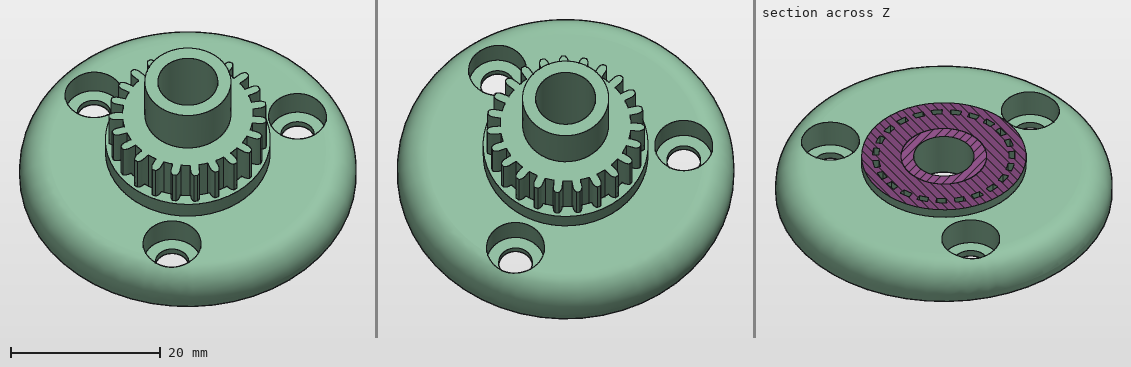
import cadquery as cq
import math

PLATE_RADIUS = 22.5
PLATE_HEIGHT = 5.0
RIM_HEIGHT = 1.0

SPIGOT_RADIUS = 5.75
SPIGOT_TOP = 20.0
BORE_RADIUS = 4.0

HOLE_COUNT = 3
HOLE_CIRCLE_RADIUS = 15.85
FIRST_HOLE_ANGLE = 40.0
HOLE_RADIUS = 2.25
COUNTERBORE_RADIUS = 3.85
COUNTERBORE_FLOOR = RIM_HEIGHT

GEAR_TOP = 13.0
GEAR_HEIGHT = GEAR_TOP - PLATE_HEIGHT
TOOTH_COUNT = 23
ROOT_RADIUS = 8.75
TIP_RADIUS = 10.55
TOOTH_WIDTH = 1.15
SHOULDER_RADIUS = 9.7
FLANK_ARC_RADIUS = 1.12

COLLAR_RADIUS = 11.02
COLLAR_INNER_RADIUS = 9.5
COLLAR_TOP = 7.5


def make_plate():
    """Round plate whose upper edge is rounded down to the straight rim."""
    plate = cq.Workplane("XY").circle(PLATE_RADIUS).extrude(PLATE_HEIGHT)
    return plate.faces(">Z").edges().fillet(PLATE_HEIGHT - RIM_HEIGHT)


def make_screw_cylinders(radius, floor):
    """One cylinder per screw, from the given floor up to the top of the plate."""
    return (
        cq.Workplane("XY", origin=(0, 0, floor))
        .polarArray(HOLE_CIRCLE_RADIUS, FIRST_HOLE_ANGLE, 360, HOLE_COUNT)
        .circle(radius)
        .extrude(PLATE_HEIGHT - floor)
    )


def make_flange():
    """Plate and spigot in one piece, with the bore and the screw holes."""
    spigot = cq.Workplane("XY").circle(SPIGOT_RADIUS).extrude(SPIGOT_TOP)
    bore = cq.Workplane("XY").circle(BORE_RADIUS).extrude(SPIGOT_TOP)
    flange = make_plate().union(spigot).cut(bore)
    flange = flange.cut(make_screw_cylinders(HOLE_RADIUS, 0))
    return flange.cut(make_screw_cylinders(COUNTERBORE_RADIUS, COUNTERBORE_FLOOR))


def flank_half_width(distance):
    """Half the tooth width on the curved part of the flanks, at a distance from the gear's axis."""
    arc_center = TOOTH_WIDTH / 2 - FLANK_ARC_RADIUS
    return arc_center + math.sqrt(FLANK_ARC_RADIUS**2 - (distance - SHOULDER_RADIUS) ** 2)


def make_tooth():
    """Tooth pointing along +Y: parallel flanks that curve in to a flat tip."""
    half_width = TOOTH_WIDTH / 2
    inner_end = (SPIGOT_RADIUS + ROOT_RADIUS) / 2
    arc_middle = (SHOULDER_RADIUS + TIP_RADIUS) / 2
    half_middle = flank_half_width(arc_middle)
    half_tip = flank_half_width(TIP_RADIUS)
    return (
        cq.Workplane("XY", origin=(0, 0, PLATE_HEIGHT))
        .moveTo(-half_width, inner_end)
        .lineTo(half_width, inner_end)
        .lineTo(half_width, SHOULDER_RADIUS)
        .threePointArc((half_middle, arc_middle), (half_tip, TIP_RADIUS))
        .lineTo(-half_tip, TIP_RADIUS)
        .threePointArc((-half_middle, arc_middle), (-half_width, SHOULDER_RADIUS))
        .close()
        .extrude(GEAR_HEIGHT)
    )


def make_ring(outer_radius, inner_radius, height):
    """Ring standing on top of the plate."""
    base = cq.Workplane("XY", origin=(0, 0, PLATE_HEIGHT))
    return base.circle(outer_radius).circle(inner_radius).extrude(height)


def make_gear():
    """Toothed ring that fits round the spigot, with the collar joined to its teeth."""
    gear = make_ring(ROOT_RADIUS, SPIGOT_RADIUS, GEAR_HEIGHT)
    tooth = make_tooth()
    for index in range(TOOTH_COUNT):
        angle = index * 360 / TOOTH_COUNT
        gear = gear.union(tooth.rotate((0, 0, 0), (0, 0, 1), angle))
    return gear.union(make_ring(COLLAR_RADIUS, COLLAR_INNER_RADIUS, COLLAR_TOP - PLATE_HEIGHT))


flange = make_flange()
gear = make_gear()

result = cq.Compound.makeCompound([flange.val(), gear.val()])